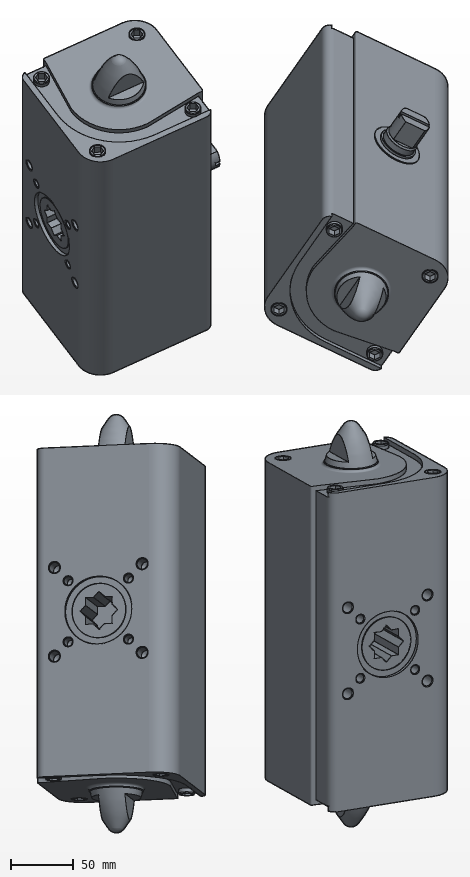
import cadquery as cq
import math

OVERALL_LENGTH = 339.3

BODY_LENGTH = 266.7
NEAR_SIDE = 56.0
FAR_SIDE = 62.0
STEP_ALONG = 37.3
STEP_LEVEL = 51.5
BIG_RADIUS = 20.5
SMALL_RADIUS = 7.0
STEP_EDGE_RADIUS = 1.5

CHANNEL_DEPTH = 4.0
CHANNEL_INNER_RADIUS = 44.0
CHANNEL_OUTER_RADIUS = 57.0
CHANNEL_OVERRUN = 68.0

SCREW_NEAR = 40.0
SCREW_FAR = 48.2
SCREW_HEAD_DIAMETER = 13.0
SCREW_CHAMFER_WIDTH = 0.5
SCREW_CHAMFER_HEIGHT = 1.0
HEX_ACROSS_FLATS = 8.0
HEX_DEPTH = 6.8

NOSE_FOOT_RADIUS = 24.0
NOSE_FILLET = 2.5
NOSE_BASE_RADIUS = 21.0
NOSE_BASE_HEIGHT = 3.0
NOSE_MIDDLE_RADIUS = 15.3
NOSE_MIDDLE_HEIGHT = 18.3
NOSE_TIP_RADIUS = 5.8
NOSE_CAP_HEIGHT = 2.7
NOSE_FLAT_OFFSET = 11.0
NOSE_LEDGE_HEIGHT = 7.8

RECESS_DIAMETER = 55.0
RECESS_DEPTH = 3.0
THREAD_COUNTERSINK = 0.7
DRILL_POINT_ANGLE = 118.0
SMALL_THREAD_DIAMETER = 6.8
SMALL_THREAD_OFFSET = 24.8
SMALL_THREAD_DEPTH = 12.0
LARGE_THREAD_DIAMETER = 8.5
LARGE_THREAD_OFFSET = 36.0
LARGE_THREAD_DEPTH = 15.3

DRIVE_DIAMETER = 44.0
DRIVE_SETBACK = 2.0
JOURNAL_DIAMETER = 41.0
JOURNAL_PROJECTION = 1.0
COLLAR_DIAMETER = 31.2
COLLAR_PROJECTION = 3.0
NECK_DIAMETER = 28.0
NECK_PROJECTION = 10.2
NECK_CHAMFER_LENGTH = 1.7
STUB_DIAMETER = 26.0
STUB_PROJECTION = 30.0
STUB_ACROSS_FLATS = 19.5
SLOT_WIDTH = 3.0
SLOT_DEPTH = 4.0
STAR_ACROSS_FLATS = 21.7
STAR_DEPTH = 40.7

HALF_BODY = BODY_LENGTH / 2
NOSE_HEIGHT = (OVERALL_LENGTH - BODY_LENGTH) / 2
SHAFT_FRONT = -FAR_SIDE + DRIVE_SETBACK
SHAFT_END = NEAR_SIDE + STUB_PROJECTION


def make_block():
    """Upper half of the extruded housing profile, with rounded corners and two stepped corners."""
    corners = [
        (-NEAR_SIDE, NEAR_SIDE),
        (STEP_ALONG, NEAR_SIDE),
        (STEP_ALONG, STEP_LEVEL),
        (FAR_SIDE, STEP_LEVEL),
        (FAR_SIDE, -FAR_SIDE),
        (-STEP_LEVEL, -FAR_SIDE),
        (-STEP_LEVEL, -STEP_ALONG),
        (-NEAR_SIDE, -STEP_ALONG),
    ]
    block = cq.Workplane("XY").polyline(corners).close().extrude(HALF_BODY)

    def round_corners(solid, points, radius):
        for x, y in points:
            edge_finder = cq.selectors.NearestToPointSelector((x, y, HALF_BODY / 2))
            solid = solid.edges("|Z").edges(edge_finder).fillet(radius)
        return solid

    block = round_corners(block, [(-NEAR_SIDE, NEAR_SIDE), (FAR_SIDE, -FAR_SIDE)], BIG_RADIUS)
    block = round_corners(block, [(FAR_SIDE, STEP_LEVEL), (-STEP_LEVEL, -FAR_SIDE)], SMALL_RADIUS)
    return round_corners(block, [(STEP_ALONG, NEAR_SIDE), (-NEAR_SIDE, -STEP_ALONG)], STEP_EDGE_RADIUS)


def make_channel():
    """Cutter for the channel in the +Z end face, open at both stepped corners."""
    diagonal = math.sqrt(0.5)
    inner_middle = (CHANNEL_INNER_RADIUS * diagonal, -CHANNEL_INNER_RADIUS * diagonal)
    outer_middle = (CHANNEL_OUTER_RADIUS * diagonal, -CHANNEL_OUTER_RADIUS * diagonal)
    return (
        cq.Workplane("XY", origin=(0, 0, HALF_BODY - CHANNEL_DEPTH))
        .moveTo(STEP_ALONG, STEP_LEVEL)
        .lineTo(CHANNEL_INNER_RADIUS, 0)
        .threePointArc(inner_middle, (0, -CHANNEL_INNER_RADIUS))
        .lineTo(-STEP_LEVEL, -STEP_ALONG)
        .lineTo(-CHANNEL_OVERRUN, -STEP_ALONG)
        .lineTo(-CHANNEL_OVERRUN, -CHANNEL_OUTER_RADIUS)
        .lineTo(0, -CHANNEL_OUTER_RADIUS)
        .threePointArc(outer_middle, (CHANNEL_OUTER_RADIUS, 0))
        .lineTo(CHANNEL_OUTER_RADIUS, CHANNEL_OVERRUN)
        .lineTo(STEP_ALONG, CHANNEL_OVERRUN)
        .close()
        .extrude(CHANNEL_DEPTH)
    )


def add_cover_screws(housing):
    """Socket-head screws in the +Z end, their heads level with the end face."""
    points = [(x, y) for x in (-SCREW_NEAR, SCREW_FAR) for y in (SCREW_NEAR, -SCREW_FAR)]
    seat = cq.Workplane("XY", origin=(0, 0, HALF_BODY - CHANNEL_DEPTH)).pushPoints(points)
    bores = seat.circle(SCREW_HEAD_DIAMETER / 2).extrude(CHANNEL_DEPTH)
    chamfer_taper = math.degrees(math.atan2(SCREW_CHAMFER_WIDTH, SCREW_CHAMFER_HEIGHT))
    head_tops = (
        cq.Workplane("XY", origin=(0, 0, HALF_BODY - SCREW_CHAMFER_HEIGHT))
        .pushPoints(points)
        .circle(SCREW_HEAD_DIAMETER / 2)
        .extrude(SCREW_CHAMFER_HEIGHT, taper=chamfer_taper)
    )
    head_sides = seat.circle(SCREW_HEAD_DIAMETER / 2).extrude(CHANNEL_DEPTH - SCREW_CHAMFER_HEIGHT)
    heads = head_sides.union(head_tops)
    hex_diameter = HEX_ACROSS_FLATS / math.cos(math.pi / 6)
    sockets = (
        cq.Workplane("XY", origin=(0, 0, HALF_BODY))
        .pushPoints(points)
        .polygon(6, hex_diameter)
        .extrude(-HEX_DEPTH)
    )
    return housing.cut(bores).union(heads).cut(sockets)


def make_nose():
    """Ogive nose with two flats, standing on the +Z end face."""
    shoulder_height = NOSE_HEIGHT - NOSE_CAP_HEIGHT
    neck_radius = NOSE_FOOT_RADIUS - NOSE_FILLET
    fillet_reach = NOSE_FILLET * (1 - math.sqrt(0.5))
    sphere_radius = (NOSE_TIP_RADIUS**2 + NOSE_CAP_HEIGHT**2) / (2 * NOSE_CAP_HEIGHT)
    cap_radius = NOSE_TIP_RADIUS / 2
    cap_height = NOSE_HEIGHT - sphere_radius + math.sqrt(sphere_radius**2 - cap_radius**2)
    nose = (
        cq.Workplane("XZ")
        .lineTo(NOSE_FOOT_RADIUS, 0)
        .threePointArc((neck_radius + fillet_reach, fillet_reach), (neck_radius, NOSE_FILLET))
        .lineTo(NOSE_BASE_RADIUS, NOSE_BASE_HEIGHT)
        .threePointArc((NOSE_MIDDLE_RADIUS, NOSE_MIDDLE_HEIGHT), (NOSE_TIP_RADIUS, shoulder_height))
        .threePointArc((cap_radius, cap_height), (0, NOSE_HEIGHT))
        .close()
        .revolve(360, (0, 0), (0, 1))
    )
    for side in (-1, 1):
        flat = (
            cq.Workplane("XY", origin=(side * NOSE_FLAT_OFFSET, 0, NOSE_LEDGE_HEIGHT))
            .box(NOSE_FOOT_RADIUS, 2 * NOSE_FOOT_RADIUS, NOSE_HEIGHT, centered=(True, True, False))
            .translate((side * NOSE_FOOT_RADIUS / 2, 0, 0))
        )
        nose = nose.cut(flat)
    return nose.translate((0, 0, HALF_BODY))


def make_thread_holes(diameter, offset, depth):
    """Cutters for four countersunk blind holes in the -Y face, with drilled points."""
    radius = diameter / 2
    mouth_radius = radius + THREAD_COUNTERSINK
    point_length = radius / math.tan(math.radians(DRILL_POINT_ANGLE / 2))
    profile = [
        (0, -FAR_SIDE),
        (mouth_radius, -FAR_SIDE),
        (radius, -FAR_SIDE + THREAD_COUNTERSINK),
        (radius, -FAR_SIDE + depth),
        (0, -FAR_SIDE + depth + point_length),
    ]
    hole = cq.Workplane("XY").polyline(profile).close().revolve(360, (0, 0), (0, 1))
    holes = cq.Workplane("XY")
    for x in (-offset, offset):
        for z in (-offset, offset):
            holes = holes.add(hole.translate((x, 0, z)))
    return holes.combine()


def make_shaft_blank():
    """Turned shaft: drive end at -Y, thinner journal from the origin to the +Y side."""
    journal_end = NEAR_SIDE + JOURNAL_PROJECTION
    collar_end = NEAR_SIDE + COLLAR_PROJECTION
    neck_end = NEAR_SIDE + NECK_PROJECTION
    profile = [
        (0, SHAFT_FRONT),
        (DRIVE_DIAMETER / 2, SHAFT_FRONT),
        (DRIVE_DIAMETER / 2, 0),
        (JOURNAL_DIAMETER / 2, 0),
        (JOURNAL_DIAMETER / 2, journal_end),
        (COLLAR_DIAMETER / 2, journal_end),
        (COLLAR_DIAMETER / 2, collar_end),
        (NECK_DIAMETER / 2, collar_end),
        (NECK_DIAMETER / 2, neck_end - NECK_CHAMFER_LENGTH),
        (STUB_DIAMETER / 2, neck_end),
        (STUB_DIAMETER / 2, SHAFT_END),
        (0, SHAFT_END),
    ]
    return cq.Workplane("XY").polyline(profile).close().revolve(360, (0, 0), (0, 1))


def make_housing(shaft_blank):
    """Housing with end channels, screws, noses, mounting holes and the shaft bore."""
    upper_half = make_block().cut(make_channel())
    upper_half = add_cover_screws(upper_half).union(make_nose())
    housing = upper_half.union(upper_half.mirror("XY"))
    recess = (
        cq.Workplane("XZ", origin=(0, -FAR_SIDE, 0))
        .circle(RECESS_DIAMETER / 2)
        .extrude(-RECESS_DEPTH)
    )
    small_holes = make_thread_holes(SMALL_THREAD_DIAMETER, SMALL_THREAD_OFFSET, SMALL_THREAD_DEPTH)
    large_holes = make_thread_holes(LARGE_THREAD_DIAMETER, LARGE_THREAD_OFFSET, LARGE_THREAD_DEPTH)
    return housing.cut(recess).cut(small_holes).cut(large_holes).cut(shaft_blank)


def make_shaft(shaft_blank):
    """Shaft with an eight-pointed star socket, two stub flats and a slotted end."""
    square = (
        cq.Workplane("XZ", origin=(0, SHAFT_FRONT, 0))
        .rect(STAR_ACROSS_FLATS, STAR_ACROSS_FLATS)
        .extrude(-STAR_DEPTH)
    )
    star = square.union(square.rotate((0, 0, 0), (0, 1, 0), 45))
    shaft = shaft_blank.cut(star)

    stub_start = NEAR_SIDE + NECK_PROJECTION
    stub_length = SHAFT_END - stub_start
    for side in (-1, 1):
        flat = cq.Workplane("XY").box(STUB_DIAMETER, stub_length, STUB_DIAMETER).translate(
            (0, stub_start + stub_length / 2, side * (STUB_ACROSS_FLATS + STUB_DIAMETER) / 2)
        )
        shaft = shaft.cut(flat)

    slot = cq.Workplane("XY").box(STUB_DIAMETER, SLOT_DEPTH, SLOT_WIDTH)
    return shaft.cut(slot.translate((0, SHAFT_END - SLOT_DEPTH / 2, 0)))


blank = make_shaft_blank()
housing = make_housing(blank)
shaft = make_shaft(blank)

result = cq.Compound.makeCompound([housing.solids().val(), shaft.solids().val()])